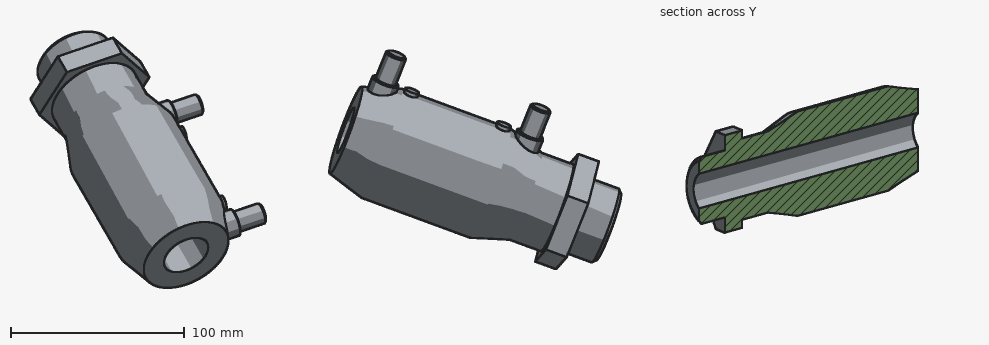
import cadquery as cq

length = 162.0
spigot_length = 19.1
hex_end = 31.9
neck_end = 51.0
body_start = 72.9
body_end = 139.8

spigot_radius = 22.7
spigot_chamfer = 2.1
hex_across_corners = 69.3
neck_radius = 26.7
body_radius = 33.5
bore_radius = 14.0

socket_middle = (neck_end + length) / 2
terminal_offset = 44.5
pin_radius = 6.2
pin_top = 53.0
collar_radius = 8.1
collar_top = 35.8
edge_chamfer = 1.0
collar_chamfer = 0.5
indicator_offset = 28.4
indicator_radius = 4.2
stud_base = 19.5


def cylinder_x(start, end, radius):
    return cq.Workplane("YZ", origin=(start, 0, 0)).circle(radius).extrude(end - start)


def stud_y(x, top, radius):
    """Round stud pointing along +Y, rooted in the socket wall."""
    plane = cq.Plane(origin=(x, stud_base, 0), xDir=(1, 0, 0), normal=(0, 1, 0))
    return cq.Workplane(plane).circle(radius).extrude(top - stud_base)


def make_socket():
    """Neck and barrel with a taper at each end, turned about X."""
    return (
        cq.Workplane("XY")
        .moveTo(hex_end, 0)
        .lineTo(hex_end, neck_radius)
        .lineTo(neck_end, neck_radius)
        .lineTo(body_start, body_radius)
        .lineTo(body_end, body_radius)
        .lineTo(length, neck_radius)
        .lineTo(length, 0)
        .close()
        .revolve(360, (0, 0, 0), (1, 0, 0))
    )


def make_hexagon():
    """Hexagon with corners on the Y axis and flats facing +Z and -Z."""
    return (
        cq.Workplane("YZ", origin=(spigot_length, 0, 0))
        .polygon(6, hex_across_corners)
        .extrude(hex_end - spigot_length)
    )


def make_terminal(x):
    pin = stud_y(x, pin_top, pin_radius).faces(">Y").chamfer(edge_chamfer)
    collar = stud_y(x, collar_top, collar_radius).faces(">Y").chamfer(collar_chamfer)
    return collar.union(pin)


spigot = cylinder_x(0, spigot_length, spigot_radius).faces("<X").chamfer(spigot_chamfer)
result = make_socket().union(make_hexagon()).union(spigot)

for side in (-1, 1):
    result = result.union(make_terminal(socket_middle + side * terminal_offset))
    indicator_x = socket_middle + side * indicator_offset
    result = result.union(stud_y(indicator_x, collar_top, indicator_radius))

result = result.cut(cylinder_x(0, length, bore_radius))